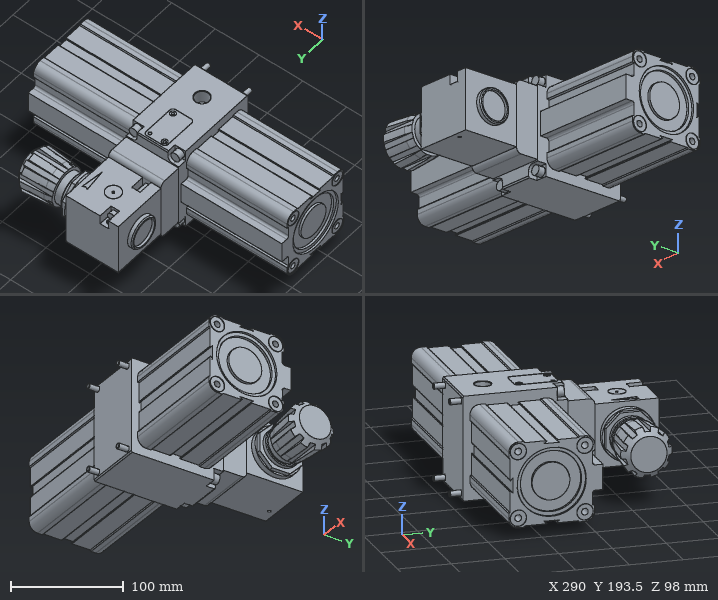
import cadquery as cq
import math


OVERALL_LENGTH = 290.0
BLOCK_WIDTH = 60.0
BLOCK_HEIGHT = 98.0
BLOCK_FRONT_Y = -46.7
BLOCK_BACK_Y = 51.0
ADAPTER_BACK_Y = 76.0
REGULATOR_BACK_Y = 136.0
REGULATOR_SIDE = REGULATOR_BACK_Y - ADAPTER_BACK_Y

CYLINDER_LENGTH = (OVERALL_LENGTH - BLOCK_WIDTH) / 2
CORNER_OFFSET = 31.0
CORNER_RADIUS = 9.0
PROFILE_SIDE = 2 * (CORNER_OFFSET + CORNER_RADIUS)
SIDE_FACE = 39.0
BACK_FACE = 38.0
RELIEF_MOUTH_WIDTH = 51.5
RELIEF_FLOOR_WIDTH = 50.0
RAIL_TIP_Y = 47.5
RAIL_WIDTH = 23.8
RAIL_FILLET = 2.5
ROOT_MARGIN = 0.3
GROOVE_FLOOR = 36.2
GROOVE_MOUTH_WIDTH = 11.0
GROOVE_LIP = 38.3
GROOVE_LIP_WIDTH = 9.3
GROOVE_FLOOR_WIDTH = 14.0

OUTER_RECESS_DIAMETER = 64.0
INNER_RECESS_DIAMETER = 56.8
OUTER_RECESS_DEPTH = 2.3
INNER_RECESS_DEPTH = 5.0
END_BOSS_DIAMETER = 35.0
SPOTFACE_DIAMETER = 15.0
SPOTFACE_DEPTH = 0.5
END_HOLE_DIAMETER = 6.0
END_HOLE_DEPTH = 14.5

SCREW_X = 23.8
SCREW_Z = 43.0
SCREW_DIAMETER = 5.5
SCREW_TIP_Y = -57.5
SCREW_TIP_CHAMFER = 0.5
HEAD_DIAMETER = 10.0
HEAD_HEIGHT = 7.2
HEAD_SEAT_Y = 41.2
HEAD_POCKET_RADIUS = 6.0

EDGE_CHAMFER_Y = 1.0
EDGE_CHAMFER_Z = 1.7
PORT_Y = -18.8
PORT_DIAMETER = 15.0
PORT_MOUTH_DIAMETER = 16.2
PORT_DEPTH = 14.5
DRILL_POINT_ANGLE = 118.0
COVER_WIDTH = 25.0
COVER_FRONT_Y = 7.5
COVER_BACK_Y = 48.0
COVER_CORNER_RADIUS = 3.5
COVER_DEPTH = 0.3
COVER_SCREWS = [(-7.8, 43.5), (7.8, 12.5)]
COVER_SCREW_DIAMETER = 6.0
COVER_SCREW_DEPTH = 0.5
COVER_SOCKET_DIAMETER = 3.0
COVER_VENT = (8.7, 43.8)
COVER_VENT_DIAMETER = 3.2
COVER_HOLE_DEPTH = 1.0

ADAPTER_HEIGHT = 70.8
ADAPTER_FILLET = 5.2

REGULATOR_Y = (ADAPTER_BACK_Y + REGULATOR_BACK_Y) / 2
REGULATOR_TOP = REGULATOR_SIDE / 2
PLUG_DIAMETER = 16.2
PLUG_DEPTH = 0.3
PLUG_HOLE_DIAMETER = 2.3
PLUG_HOLE_DEPTH = 1.2
BOLT_X = -14.0
BOLT_SLOT_WIDTH = 9.5
BOLT_SLOT_DEPTH = 10.2
BOLT_DEPTH = 7.2
BACK_SLOT_START_Y = 120.5
FRONT_SLOT_END_Y = 91.4
BOLT_HEAD_DIAMETER = 9.0
BOLT_HEAD_HEIGHT = 5.2
BOLT_SHANK_DIAMETER = 5.0
CROSS_HOLE_Y = 129.0
CROSS_HOLE_DIAMETER = 3.0
CROSS_COUNTERBORE_DIAMETER = 5.0
CROSS_COUNTERBORE_DEPTH = 1.5
ARROW_X = 23.0
ARROW_HALF_WIDTH = 3.0
ARROW_TAIL_Y = 118.3
ARROW_NOTCH_Y = 116.5
ARROW_TIP_Y = 93.7
ARROW_DEPTH = 0.3

CAP_DIAMETER = 34.2
CAP_THICKNESS = 5.2
CAP_CHAMFER = 1.2
CAP_RECESS_DIAMETER = 29.0
CAP_RECESS_DEPTH = 3.0

FLANGE_DIAMETER = 50.0
FLANGE_END_X = 35.7
NUT_ACROSS_FLATS = 45.5
NUT_SIDES = 8
NUT_END_X = 40.0
COLLAR_DIAMETER = 38.5
COLLAR_END_X = 45.0
COLLAR_CHAMFER = 1.0
NECK_DIAMETER = 34.2

KNOB_START_X = 53.5
KNOB_BAND_X = 61.5
KNOB_SHOULDER_X = 88.0
KNOB_END_X = 94.8
KNOB_START_RADIUS = 20.5
KNOB_BAND_RADIUS = 22.0
KNOB_SHOULDER_RADIUS = 24.0
KNOB_END_RADIUS = 16.8
FLUTE_COUNT = 10
FLUTE_FLOOR_WIDTH = 5.2
FLUTE_MOUTH_WIDTH = 7.5
FLUTE_FLOOR_RADIUS = 20.3


def box_between(low, high):
    """Axis-aligned box from its low corner to its high corner."""
    size = [b - a for a, b in zip(low, high)]
    return cq.Workplane("XY").box(*size, centered=False).translate(low)


def disc_x(diameter, start_x, end_x, y=0.0, z=0.0):
    """Round disc along X."""
    return cq.Workplane("YZ", origin=(start_x, y, z)).circle(diameter / 2).extrude(end_x - start_x)


def disc_y(diameter, start_y, end_y, x, z):
    """Round disc along Y."""
    return cq.Workplane("XZ", origin=(x, start_y, z)).circle(diameter / 2).extrude(start_y - end_y)


def disc_z(diameter, top_z, depth, x, y):
    """Round disc reaching down from top_z."""
    return cq.Workplane("XY", origin=(x, y, top_z)).circle(diameter / 2).extrude(-depth)


def mirrored_groove(half_points):
    """Straight groove on the +Z side, from the points of its +Y half listed from the bottom up."""
    other_half = [(-y, z) for y, z in reversed(half_points)]
    return cq.Workplane("YZ").polyline(half_points + other_half).close().extrude(CYLINDER_LENGTH)


def side_relief(face):
    """Shallow trapezoid on the +Z side that lowers the wall between two corner lobes to a face height."""
    return mirrored_groove([(RELIEF_FLOOR_WIDTH / 2, face), (RELIEF_MOUTH_WIDTH / 2, PROFILE_SIDE / 2)])


def cylinder_profile():
    """Extruded profile: four rounded corner lobes, a rail on +Y and dovetail grooves on three sides."""
    profile = (
        cq.Workplane("YZ")
        .rect(PROFILE_SIDE, PROFILE_SIDE)
        .extrude(CYLINDER_LENGTH)
        .edges("|X")
        .fillet(CORNER_RADIUS)
    )
    groove = mirrored_groove([
        (GROOVE_FLOOR_WIDTH / 2, GROOVE_FLOOR),
        (GROOVE_LIP_WIDTH / 2, GROOVE_LIP),
        (GROOVE_MOUTH_WIDTH / 2, SIDE_FACE),
    ])
    side_cut = side_relief(SIDE_FACE).union(groove)
    for angle in (0, 90, 180):
        profile = profile.cut(side_cut.rotate((0, 0, 0), (1, 0, 0), angle))
    profile = profile.cut(side_relief(BACK_FACE).rotate((0, 0, 0), (1, 0, 0), -90))

    rail = box_between(
        (0, GROOVE_FLOOR, -RAIL_WIDTH / 2), (CYLINDER_LENGTH, RAIL_TIP_Y, RAIL_WIDTH / 2)
    )
    profile = profile.union(rail)
    rail_roots = cq.selectors.BoxSelector(
        (0, BACK_FACE - ROOT_MARGIN, -RAIL_WIDTH / 2 - ROOT_MARGIN),
        (CYLINDER_LENGTH, BACK_FACE + ROOT_MARGIN, RAIL_WIDTH / 2 + ROOT_MARGIN),
    )
    return profile.edges("|X").edges(rail_roots).fillet(RAIL_FILLET)


def left_cylinder():
    """Cylinder on the -X side, with a stepped recess, a centre boss and corner holes in its end."""
    end_x = -OVERALL_LENGTH / 2
    floor_x = end_x + INNER_RECESS_DEPTH
    cylinder = cylinder_profile().translate((end_x, 0, 0))
    cylinder = cylinder.cut(disc_x(OUTER_RECESS_DIAMETER, end_x, end_x + OUTER_RECESS_DEPTH))
    inner_recess = disc_x(INNER_RECESS_DIAMETER, end_x, floor_x)
    cylinder = cylinder.cut(inner_recess.cut(disc_x(END_BOSS_DIAMETER, end_x, floor_x)))
    for y in (-CORNER_OFFSET, CORNER_OFFSET):
        for z in (-CORNER_OFFSET, CORNER_OFFSET):
            cylinder = cylinder.cut(disc_x(SPOTFACE_DIAMETER, end_x, end_x + SPOTFACE_DEPTH, y, z))
            cylinder = cylinder.cut(disc_x(END_HOLE_DIAMETER, end_x, end_x + END_HOLE_DEPTH, y, z))
    return cylinder


def block_screw(x, z):
    """Cap screw along Y whose tip stands out of the front of the block."""
    shank = disc_y(SCREW_DIAMETER, SCREW_TIP_Y, HEAD_SEAT_Y, x, z)
    shank = shank.faces("<Y").chamfer(SCREW_TIP_CHAMFER)
    head = disc_y(HEAD_DIAMETER, HEAD_SEAT_Y, HEAD_SEAT_Y + HEAD_HEIGHT, x, z)
    return shank.union(head)


def head_pocket(x_side, z_side):
    """Round-bottomed corner pocket around a screw head, open to the side, the end and the back."""
    x = x_side * SCREW_X
    z = z_side * SCREW_Z
    inner_x = x - x_side * HEAD_POCKET_RADIUS
    inner_z = z - z_side * HEAD_POCKET_RADIUS
    outer_x = x_side * BLOCK_WIDTH / 2
    outer_z = z_side * BLOCK_HEIGHT / 2
    pocket = disc_y(2 * HEAD_POCKET_RADIUS, HEAD_SEAT_Y, BLOCK_BACK_Y, x, z)
    for x_start, z_start in ((inner_x, z), (x, inner_z)):
        low = (min(x_start, outer_x), HEAD_SEAT_Y, min(z_start, outer_z))
        high = (max(x_start, outer_x), BLOCK_BACK_Y, max(z_start, outer_z))
        pocket = pocket.union(box_between(low, high))
    return pocket


def block_blank():
    """Plain block with its four long X edges chamfered."""
    top = BLOCK_HEIGHT / 2
    shoulder = top - EDGE_CHAMFER_Z
    front = BLOCK_FRONT_Y
    back = BLOCK_BACK_Y
    return (
        cq.Workplane("YZ", origin=(-BLOCK_WIDTH / 2, 0, 0))
        .polyline([
            (front, -shoulder),
            (front + EDGE_CHAMFER_Y, -top),
            (back - EDGE_CHAMFER_Y, -top),
            (back, -shoulder),
            (back, shoulder),
            (back - EDGE_CHAMFER_Y, top),
            (front + EDGE_CHAMFER_Y, top),
            (front, shoulder),
        ])
        .close()
        .extrude(BLOCK_WIDTH)
    )


def port_hole():
    """Blind port with a chamfered mouth and a drill-point bottom."""
    radius = PORT_DIAMETER / 2
    mouth_radius = PORT_MOUTH_DIAMETER / 2
    point_depth = radius / math.tan(math.radians(DRILL_POINT_ANGLE / 2))
    half_section = (
        cq.Workplane("XZ", origin=(0, PORT_Y, BLOCK_HEIGHT / 2))
        .polyline([
            (0, 0),
            (mouth_radius, 0),
            (radius, radius - mouth_radius),
            (radius, -PORT_DEPTH),
            (0, -PORT_DEPTH - point_depth),
        ])
        .close()
    )
    return half_section.revolve(360, (0, 0, 0), (0, 1, 0))


def cover_recess():
    """Shallow rounded cover field with two screws and a vent hole."""
    top = BLOCK_HEIGHT / 2
    recess = (
        box_between(
            (-COVER_WIDTH / 2, COVER_FRONT_Y, top - COVER_DEPTH),
            (COVER_WIDTH / 2, COVER_BACK_Y, top),
        )
        .edges("|Z")
        .fillet(COVER_CORNER_RADIUS)
    )
    for x, y in COVER_SCREWS:
        recess = recess.union(disc_z(COVER_SCREW_DIAMETER, top, COVER_SCREW_DEPTH, x, y))
        recess = recess.union(disc_z(COVER_SOCKET_DIAMETER, top, COVER_HOLE_DEPTH, x, y))
    return recess.union(disc_z(COVER_VENT_DIAMETER, top, COVER_HOLE_DEPTH, *COVER_VENT))


def centre_block():
    """Block between the cylinders, with its screw holes, port and cover."""
    block = block_blank().cut(port_hole()).cut(cover_recess())
    for x_side in (-1, 1):
        for z_side in (-1, 1):
            hole = disc_y(SCREW_DIAMETER, BLOCK_FRONT_Y, HEAD_SEAT_Y, x_side * SCREW_X, z_side * SCREW_Z)
            block = block.cut(hole).cut(head_pocket(x_side, z_side))
    return block


def adapter_plate():
    """Plate between the block and the regulator, rounded on its back edges."""
    half_width = BLOCK_WIDTH / 2
    half_height = ADAPTER_HEIGHT / 2
    plate = box_between(
        (-half_width, BLOCK_BACK_Y, -half_height), (half_width, ADAPTER_BACK_Y, half_height)
    )
    return plate.faces(">Y").edges("|X").fillet(ADAPTER_FILLET)


def regulator_body():
    """Square body with its plug, bolt slots, cross hole and flow arrow on top."""
    half_width = BLOCK_WIDTH / 2
    body = box_between(
        (-half_width, ADAPTER_BACK_Y, -REGULATOR_TOP), (half_width, REGULATOR_BACK_Y, REGULATOR_TOP)
    )
    body = body.cut(disc_z(PLUG_DIAMETER, REGULATOR_TOP, PLUG_DEPTH, 0, REGULATOR_Y))
    body = body.cut(disc_z(PLUG_HOLE_DIAMETER, REGULATOR_TOP, PLUG_HOLE_DEPTH, 0, REGULATOR_Y))

    floor_z = REGULATOR_TOP - BOLT_SLOT_DEPTH
    for start_y, end_y in ((ADAPTER_BACK_Y, FRONT_SLOT_END_Y), (BACK_SLOT_START_Y, REGULATOR_BACK_Y)):
        low = (BOLT_X - BOLT_SLOT_WIDTH / 2, start_y, floor_z)
        high = (BOLT_X + BOLT_SLOT_WIDTH / 2, end_y, REGULATOR_TOP)
        body = body.cut(box_between(low, high))
    bolt_z = REGULATOR_TOP - BOLT_DEPTH
    head_end_y = BACK_SLOT_START_Y + BOLT_HEAD_HEIGHT
    body = body.union(disc_y(BOLT_HEAD_DIAMETER, BACK_SLOT_START_Y, head_end_y, BOLT_X, bolt_z))
    body = body.union(disc_y(BOLT_SHANK_DIAMETER, ADAPTER_BACK_Y, FRONT_SLOT_END_Y, BOLT_X, bolt_z))
    counterbore = disc_z(
        CROSS_COUNTERBORE_DIAMETER, floor_z, CROSS_COUNTERBORE_DEPTH, BOLT_X, CROSS_HOLE_Y
    )
    cross_hole = disc_z(CROSS_HOLE_DIAMETER, REGULATOR_TOP, REGULATOR_SIDE, BOLT_X, CROSS_HOLE_Y)
    body = body.cut(counterbore).cut(cross_hole)

    arrow = (
        cq.Workplane("XY", origin=(ARROW_X, 0, REGULATOR_TOP))
        .polyline([
            (-ARROW_HALF_WIDTH, ARROW_TAIL_Y),
            (0, ARROW_NOTCH_Y),
            (ARROW_HALF_WIDTH, ARROW_TAIL_Y),
            (0, ARROW_TIP_Y),
        ])
        .close()
        .extrude(-ARROW_DEPTH)
    )
    return body.cut(arrow)


def regulator_cap():
    """Round end cap on the -X side with a recessed face."""
    inner_x = -BLOCK_WIDTH / 2
    outer_x = inner_x - CAP_THICKNESS
    cap = disc_x(CAP_DIAMETER, outer_x, inner_x, REGULATOR_Y)
    cap = cap.faces("<X").chamfer(CAP_CHAMFER)
    return cap.cut(disc_x(CAP_RECESS_DIAMETER, outer_x, outer_x + CAP_RECESS_DEPTH, REGULATOR_Y))


def regulator_neck():
    """Flange, octagonal nut, chamfered collar and neck, stacked along +X."""
    flange = disc_x(FLANGE_DIAMETER, BLOCK_WIDTH / 2, FLANGE_END_X, REGULATOR_Y)
    nut = (
        cq.Workplane("YZ", origin=(FLANGE_END_X, REGULATOR_Y, 0))
        .polygon(NUT_SIDES, NUT_ACROSS_FLATS, circumscribed=True)
        .extrude(NUT_END_X - FLANGE_END_X)
    )
    collar = disc_x(COLLAR_DIAMETER, NUT_END_X, COLLAR_END_X, REGULATOR_Y)
    collar = collar.faces(">X").chamfer(COLLAR_CHAMFER)
    neck = disc_x(NECK_DIAMETER, COLLAR_END_X, KNOB_START_X, REGULATOR_Y)
    return flange.union(nut).union(collar).union(neck)


def regulator_knob():
    """Tapered knob with straight, flared, flat-bottomed flutes and a bevelled end."""
    knob = (
        cq.Workplane("XY", origin=(0, REGULATOR_Y, 0))
        .polyline([
            (KNOB_START_X, 0),
            (KNOB_START_X, KNOB_START_RADIUS),
            (KNOB_BAND_X, KNOB_BAND_RADIUS),
            (KNOB_SHOULDER_X, KNOB_SHOULDER_RADIUS),
            (KNOB_END_X, KNOB_END_RADIUS),
            (KNOB_END_X, 0),
        ])
        .close()
        .revolve(360, (0, 0, 0), (1, 0, 0))
    )
    flute = (
        cq.Workplane("YZ", origin=(KNOB_START_X, REGULATOR_Y, 0))
        .polyline([
            (-FLUTE_FLOOR_WIDTH / 2, FLUTE_FLOOR_RADIUS),
            (FLUTE_FLOOR_WIDTH / 2, FLUTE_FLOOR_RADIUS),
            (FLUTE_MOUTH_WIDTH / 2, KNOB_SHOULDER_RADIUS),
            (-FLUTE_MOUTH_WIDTH / 2, KNOB_SHOULDER_RADIUS),
        ])
        .close()
        .extrude(KNOB_END_X - KNOB_START_X)
    )
    for index in range(FLUTE_COUNT):
        angle = index * 360 / FLUTE_COUNT
        knob = knob.cut(flute.rotate((0, REGULATOR_Y, 0), (1, REGULATOR_Y, 0), angle))
    return knob


def regulator():
    """Pressure regulator as one solid."""
    return regulator_body().union(regulator_cap()).union(regulator_neck()).union(regulator_knob())


cylinder_left = left_cylinder()
cylinder_right = cylinder_left.mirror("YZ")
block_screws = [
    block_screw(x, z) for x in (-SCREW_X, SCREW_X) for z in (-SCREW_Z, SCREW_Z)
]

result = cq.Compound.makeCompound([
    centre_block().val(),
    cylinder_left.val(),
    cylinder_right.val(),
    *[screw.val() for screw in block_screws],
    adapter_plate().val(),
    regulator().val(),
])